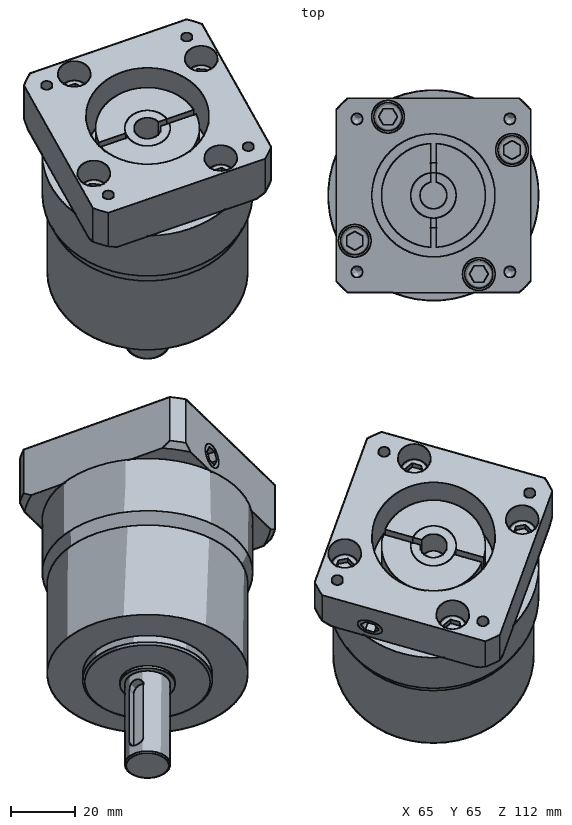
import cadquery as cq
import math


TOP_Z = 112.0
FLANGE_HEIGHT = 18.5
CONE_TOP_DEPTH = 38.4
CONE_BOTTOM_DEPTH = 42.8
SHAFT_LENGTH = 35.0
PILOT_HEIGHT = 3.1
COLLAR_HEIGHT = 0.9

FLANGE_Z = TOP_Z - FLANGE_HEIGHT
CONE_TOP_Z = TOP_Z - CONE_TOP_DEPTH
CONE_BOTTOM_Z = TOP_Z - CONE_BOTTOM_DEPTH
MOUNT_Z = SHAFT_LENGTH
PILOT_Z = MOUNT_Z - PILOT_HEIGHT
COLLAR_Z = PILOT_Z - COLLAR_HEIGHT

RING_DIAMETER = 65.0
BODY_DIAMETER = 61.9
PILOT_DIAMETER = 40.0
PILOT_CHAMFER = 0.7
COLLAR_DIAMETER = 17.0

SHAFT_DIAMETER = 14.0
SHAFT_CHAMFER = 0.5
KEYWAY_WIDTH = 5.0
KEYWAY_LENGTH = 25.0
KEYWAY_DEPTH = 3.0
KEYWAY_END_GAP = 3.5

FLANGE_SIDE = 60.0
CORNER_DIAMETER = 80.0
CORNER_BEVEL = 1.8
MOTOR_HOLE_DIAMETER = 3.5
MOTOR_HOLE_PITCH = 47.2
MOTOR_HOLE_DEPTH = 10.1
DRILL_POINT_ANGLE = 118

RECESS_DIAMETER = 38.0
CLAMP_TOP_DEPTH = 6.0
CLAMP_DIAMETER = 32.0
CLAMP_HEIGHT = 12.0
SLOT_WIDTH = 1.8
INPUT_SHAFT_DIAMETER = 14.0
INPUT_BORE_DIAMETER = 8.3
INPUT_BORE_DEPTH = 11.0
SHOULDER_DIAMETER = 20.0
SHOULDER_HEIGHT = 1.0

CLAMP_TOP_Z = TOP_Z - CLAMP_TOP_DEPTH
CLAMP_BOTTOM_Z = CLAMP_TOP_Z - CLAMP_HEIGHT
RECESS_FLOOR_Z = CLAMP_BOTTOM_Z - SHOULDER_HEIGHT

HEX_ACROSS_FLATS = 5.0

SCREW_COUNT = 4
SCREW_CIRCLE_RADIUS = 28.0
FIRST_SCREW_ANGLE = 30
COUNTERBORE_DIAMETER = 10.1
COUNTERBORE_DEPTH = 13.4
HEAD_DIAMETER = 8.7
HEAD_HEIGHT = 5.0
HEAD_FILLET = 0.5
HEAD_HEX_DEPTH = 2.5

PLUG_DIAMETER = 8.0
PLUG_LENGTH = 6.0
PLUG_HEX_DEPTH = 4.0
PLUG_Y = 11.0
PLUG_Z = (CLAMP_TOP_Z + CLAMP_BOTTOM_Z) / 2


def disc(diameter, bottom_z, top_z):
    """Upright cylinder on the main axis."""
    return cq.Workplane("XY").workplane(offset=bottom_z).circle(diameter / 2).extrude(top_z - bottom_z)


def hex_socket(workplane, depth):
    """Hexagonal prism cut by a key socket, running against the workplane normal."""
    across_corners = HEX_ACROSS_FLATS / math.cos(math.pi / 6)
    return workplane.polygon(6, across_corners).extrude(-depth)


def casing():
    """Turned casing: pilot, lower body, cone and upper ring."""
    ring_radius = RING_DIAMETER / 2
    body_radius = BODY_DIAMETER / 2
    pilot_radius = PILOT_DIAMETER / 2
    collar_radius = COLLAR_DIAMETER / 2
    profile = [
        (0, COLLAR_Z),
        (collar_radius, COLLAR_Z),
        (collar_radius, PILOT_Z),
        (pilot_radius - PILOT_CHAMFER, PILOT_Z),
        (pilot_radius, PILOT_Z + PILOT_CHAMFER),
        (pilot_radius, MOUNT_Z),
        (body_radius, MOUNT_Z),
        (body_radius, CONE_BOTTOM_Z),
        (ring_radius, CONE_TOP_Z),
        (ring_radius, FLANGE_Z),
        (0, FLANGE_Z),
    ]
    return cq.Workplane("XZ").polyline(profile).close().revolve(360, (0, 0, 0), (0, 1, 0))


def output_shaft():
    """Shaft with a chamfered end and a round-ended keyway on its +Y side."""
    shaft = disc(SHAFT_DIAMETER, 0, COLLAR_Z).faces("<Z").chamfer(SHAFT_CHAMFER)
    keyway = (
        cq.Workplane("XZ", origin=(0, SHAFT_DIAMETER / 2, KEYWAY_END_GAP + KEYWAY_LENGTH / 2))
        .slot2D(KEYWAY_LENGTH, KEYWAY_WIDTH, 90)
        .extrude(KEYWAY_DEPTH)
    )
    return shaft.cut(keyway)


def flange():
    """Square plate whose corners are turned round and bevelled underneath."""
    plate = (
        cq.Workplane("XY").workplane(offset=FLANGE_Z)
        .rect(FLANGE_SIDE, FLANGE_SIDE).extrude(FLANGE_HEIGHT)
    )
    turned_outline = disc(CORNER_DIAMETER, FLANGE_Z, TOP_Z).faces("<Z").chamfer(CORNER_BEVEL)
    return plate.intersect(turned_outline)


def motor_holes():
    """Four blind holes with drill points, as one cutting tool."""
    radius = MOTOR_HOLE_DIAMETER / 2
    point_length = radius / math.tan(math.radians(DRILL_POINT_ANGLE / 2))
    profile = [
        (0, 0),
        (radius, 0),
        (radius, -MOTOR_HOLE_DEPTH),
        (0, -MOTOR_HOLE_DEPTH - point_length),
    ]
    drill = cq.Workplane("XZ").polyline(profile).close().revolve(360, (0, 0, 0), (0, 1, 0)).val()
    return (
        cq.Workplane("XY").workplane(offset=TOP_Z)
        .rect(MOTOR_HOLE_PITCH, MOTOR_HOLE_PITCH, forConstruction=True).vertices()
        .eachpoint(lambda place: drill.moved(place), combine="a")
    )


def screw_spaces():
    """Empty space around and inside each screw head, as a list of cutting tools."""
    seat_z = TOP_Z - COUNTERBORE_DEPTH
    head_top_z = seat_z + HEAD_HEIGHT
    head = disc(HEAD_DIAMETER, seat_z, head_top_z).faces(">Z").edges().fillet(HEAD_FILLET)
    head = head.cut(hex_socket(cq.Workplane("XY").workplane(offset=head_top_z), HEAD_HEX_DEPTH))
    space = disc(COUNTERBORE_DIAMETER, seat_z, TOP_Z).cut(head).translate((SCREW_CIRCLE_RADIUS, 0, 0))
    return [
        space.rotate((0, 0, 0), (0, 0, 1), FIRST_SCREW_ANGLE + i * 360 / SCREW_COUNT)
        for i in range(SCREW_COUNT)
    ]


def input_shaft():
    """Hollow shaft on a low shoulder, slotted from its bore out to its +Y side."""
    bore_floor_z = CLAMP_TOP_Z - INPUT_BORE_DEPTH
    shoulder = disc(SHOULDER_DIAMETER, RECESS_FLOOR_Z, CLAMP_BOTTOM_Z)
    shaft = disc(INPUT_SHAFT_DIAMETER, RECESS_FLOOR_Z, CLAMP_TOP_Z)
    slot = (
        cq.Workplane("XY").workplane(offset=bore_floor_z)
        .rect(SLOT_WIDTH, INPUT_SHAFT_DIAMETER).extrude(INPUT_BORE_DEPTH)
        .translate((0, INPUT_SHAFT_DIAMETER / 2, 0))
    )
    bore = disc(INPUT_BORE_DIAMETER, bore_floor_z, CLAMP_TOP_Z)
    return shoulder.union(shaft).cut(bore.union(slot))


def plug_workplane():
    """Plane on the -X face of the flange, its normal pointing outwards."""
    return cq.Workplane(cq.Plane((-FLANGE_SIDE / 2, PLUG_Y, PLUG_Z), xDir=(0, 1, 0), normal=(-1, 0, 0)))


def plug_blank():
    return plug_workplane().circle(PLUG_DIAMETER / 2).extrude(-PLUG_LENGTH)


def make_housing():
    """Casing with its flange, sunk screws and both shafts."""
    body = casing().union(flange()).union(output_shaft())
    body = body.cut(disc(RECESS_DIAMETER, RECESS_FLOOR_Z, TOP_Z)).union(input_shaft())
    body = body.cut(motor_holes())
    for space in screw_spaces():
        body = body.cut(space)
    return body.cut(plug_blank())


def make_clamp_half(side):
    """Half of the clamp ring on the +X (side = 1) or -X (side = -1) of the slot."""
    ring = disc(CLAMP_DIAMETER, CLAMP_BOTTOM_Z, CLAMP_TOP_Z)
    ring = ring.cut(disc(INPUT_SHAFT_DIAMETER, CLAMP_BOTTOM_Z, CLAMP_TOP_Z))
    half_space = (
        cq.Workplane("XY").workplane(offset=CLAMP_BOTTOM_Z)
        .rect(CLAMP_DIAMETER, CLAMP_DIAMETER).extrude(CLAMP_HEIGHT)
        .translate((side * (CLAMP_DIAMETER + SLOT_WIDTH) / 2, 0, 0))
    )
    return ring.intersect(half_space)


def make_plug():
    """Flush screw plug with a key socket."""
    return plug_blank().cut(hex_socket(plug_workplane(), PLUG_HEX_DEPTH))


housing = make_housing()
clamp_halves = [make_clamp_half(side) for side in (-1, 1)]
plug = make_plug()

result = cq.Compound.makeCompound([housing.val(), *[half.val() for half in clamp_halves], plug.val()])